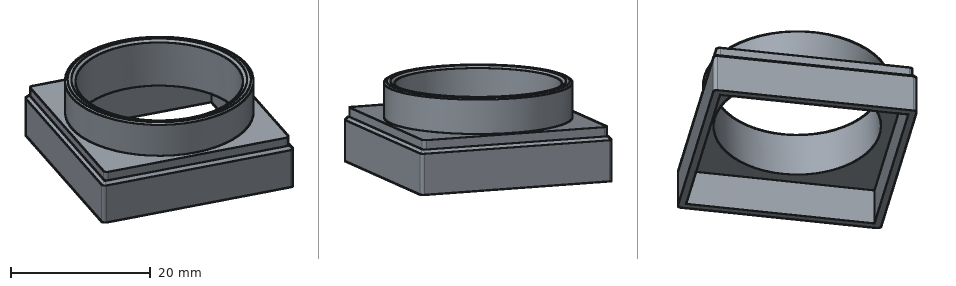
import cadquery as cq

base_side = 29.6
base_height = 6.5
edge_inset = 0.5
corner_radius = 0.53

step_side = base_side - 2 * edge_inset
step_top = 7.87

total_height = 13.1
collar_diameter = 27.05
bore_diameter = 24.0
outer_bevel_width = 0.38
outer_bevel_height = 0.25
inner_bevel_width = 0.6
inner_bevel_height = 0.33

cavity_side = 27.4
cavity_depth = 5.8


def square_block(side, bottom, top):
    """Centered square block with rounded vertical corners."""
    block = cq.Workplane("XY").workplane(offset=bottom).rect(side, side).extrude(top - bottom)
    return block.edges("|Z").fillet(corner_radius)


def make_base():
    return square_block(base_side, 0, base_height).faces(">Z").edges().chamfer(edge_inset)


def make_collar():
    """Solid collar with a shallow bevel around its upper outer edge."""
    radius = collar_diameter / 2
    profile = [
        (0, step_top),
        (radius, step_top),
        (radius, total_height - outer_bevel_height),
        (radius - outer_bevel_width, total_height),
        (0, total_height),
    ]
    return cq.Workplane("XZ").polyline(profile).close().revolve(360, (0, 0), (0, 1))


def make_bore():
    """Through bore that flares out at the top of the collar."""
    radius = bore_diameter / 2
    profile = [
        (0, 0),
        (radius, 0),
        (radius, total_height - inner_bevel_height),
        (radius + inner_bevel_width, total_height),
        (0, total_height),
    ]
    return cq.Workplane("XZ").polyline(profile).close().revolve(360, (0, 0), (0, 1))


cavity = cq.Workplane("XY").rect(cavity_side, cavity_side).extrude(cavity_depth)

result = (
    make_base()
    .union(square_block(step_side, base_height, step_top))
    .union(make_collar())
    .cut(make_bore())
    .cut(cavity)
)